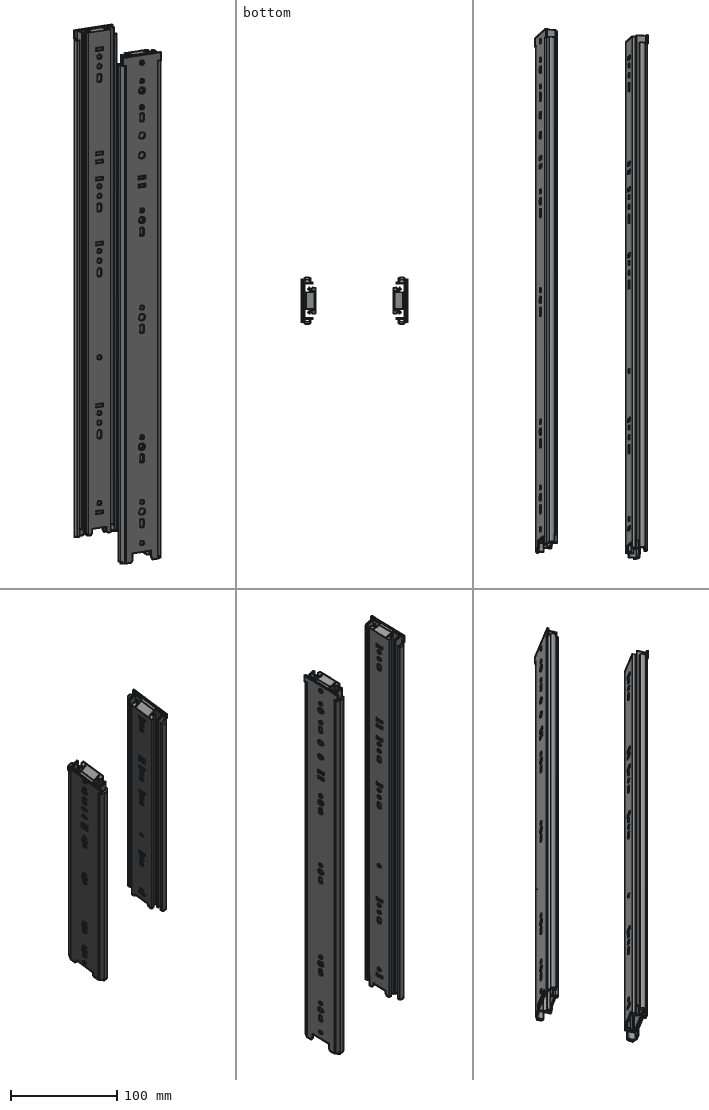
import cadquery as cq
length = 500.0
pair_width = 100.0
slide_width = 44.5
top = length / 2
bottom = -length / 2
outer_face = -pair_width / 2
sheet = 1.5
overcut = 5.0

outer_web_inside = outer_face + sheet
tab_half_width = 40.5 / 2
tab_height = 8.0
flat_half_width = 33.5 / 2
lip_start = outer_face + 3.0
lip_end = outer_face + 8.5
lip_start_y = 21.5
lip_end_y = 21.0
lip_thickness = 2.5
lip_setback = 1.5

middle_web_inside = outer_web_inside + sheet
middle_half_width = 17.5
middle_edge = outer_face + 10.5
pad_half_width = 8.0
pad_inside = middle_web_inside + sheet

inner_face = outer_face + 13.5
inner_web_inside = inner_face - sheet
inner_half_width = 12.5
inner_web_half_width = 12.0
race_crest = inner_face - 3.0
race_bottom = inner_face - 4.5
race_depth = 2.5
race_tip = inner_face - 6.0
inner_edge = inner_face - 7.5
inner_flange_root = 8.5
inner_setback = 3.0

notch_depth = 9.0
mouth_half_width = 11.5
outer_notch_half_width = 10.0
outer_mouth_height = 3.0
inner_notch_half_width = 7.5
inner_mouth_height = 5.5

round_hole = 6.5
fixing_hole = 4.6
pilot_hole = 4.4
rivet_hole = 3.3
pilot_offset = 9.5
slot_offset = -11.5
slot_height = 8.5
top_group = 215.0
through_groups = (87.0, -137.0)
outer_groups = (-9.0, -201.0)
outer_round_holes = (170.5, 151.0)
outer_slot = 188.5
outer_pilot = -232.0
rivets = (242.5, 198.5)
inner_group = 23.0
inner_window_offset = 17.0
inner_pilots = (-72.5, -216.5)
inner_end_window = -225.5
window_heights = (129.0, 121.0)
window_width = 7.5
window_height = 3.0
drill_depth = inner_face - outer_face + 2 * overcut


def box(x_range, half_width, z_range):
    """Block centred on Y = 0."""
    size_x = x_range[1] - x_range[0]
    size_z = z_range[1] - z_range[0]
    block = cq.Workplane("XY").box(size_x, 2 * half_width, size_z, centered=(False, True, False))
    return block.translate((x_range[0], 0, z_range[0]))


def with_both_flanges(web, flange):
    """Web joined to a flange at +Y and to its mirror image at -Y."""
    return web.union(flange).union(flange.mirror("XZ"))


def web_sketch():
    """Sketch plane facing +X, with local axes Y and Z, in front of the left slide."""
    return cq.Workplane("YZ").workplane(offset=outer_face - overcut)


def round_cutter(z, diameter):
    """Round hole on the centre line of the web."""
    return web_sketch().center(0, z).circle(diameter / 2).extrude(drill_depth)


def slot_cutter(z):
    """Round-ended slot, long in Z."""
    return web_sketch().center(0, z).slot2D(slot_height, pilot_hole, 90).extrude(drill_depth)


def window_cutter(z):
    """Rectangular opening, wide in Y."""
    return web_sketch().center(0, z).rect(window_width, window_height).extrude(drill_depth)


def group_cutters(z, diameter):
    """Pilot hole, round hole of the given diameter and slot."""
    return [
        round_cutter(z + pilot_offset, pilot_hole),
        round_cutter(z, diameter),
        slot_cutter(z + slot_offset),
    ]


def through_cutters(diameter):
    """Openings that run through all three rails; each rail sets the size of its round holes."""
    cutters = [round_cutter(top_group + pilot_offset, pilot_hole), round_cutter(top_group, diameter)]
    for z in through_groups:
        cutters += group_cutters(z, diameter)
    cutters += [window_cutter(z) for z in window_heights]
    return cutters


def outer_only_cutters():
    """Openings in the outer rail alone."""
    cutters = [slot_cutter(outer_slot), round_cutter(outer_pilot, pilot_hole)]
    for z in outer_groups:
        cutters += group_cutters(z, round_hole)
    cutters += [round_cutter(z, round_hole) for z in outer_round_holes]
    cutters += [round_cutter(z, pilot_hole) for z in rivets]
    return cutters


def inner_only_cutters():
    """Openings in the inner rail alone."""
    cutters = [slot_cutter(top_group + slot_offset)] + group_cutters(inner_group, fixing_hole)
    for z in (top_group, inner_group, *through_groups):
        cutters.append(window_cutter(z + inner_window_offset))
    cutters.append(window_cutter(inner_end_window))
    cutters += [round_cutter(z, pilot_hole) for z in inner_pilots]
    return cutters


def cut_all(body, cutters):
    for cutter in cutters:
        body = body.cut(cutter)
    return body


def notch_cutter(half_width, mouth_height):
    """Notch in the bottom edge, flared at its mouth."""
    notch_top = bottom + notch_depth
    mouth_top = bottom + mouth_height
    return (
        web_sketch()
        .moveTo(-mouth_half_width, bottom)
        .lineTo(-half_width, mouth_top)
        .lineTo(-half_width, notch_top)
        .lineTo(half_width, notch_top)
        .lineTo(half_width, mouth_top)
        .lineTo(mouth_half_width, bottom)
        .close()
        .extrude(drill_depth)
    )


def make_outer_rail():
    """Mounting rail: flat web with outward-bent flanges that end in a rounded lip."""
    flange_top = top - tab_height
    web = box((outer_face, outer_web_inside), flat_half_width, (bottom, top))
    tab = box((outer_face, outer_web_inside), tab_half_width, (flange_top, top))
    lip_middle = (lip_start + lip_end) / 2
    crown = slide_width / 2
    bend = (
        cq.Workplane("XY", origin=(0, 0, bottom))
        .moveTo(outer_face, flat_half_width)
        .lineTo(lip_start, lip_start_y)
        .lineTo(lip_start, lip_start_y - lip_thickness)
        .lineTo(outer_web_inside, middle_half_width)
        .lineTo(outer_web_inside, flat_half_width)
        .close()
        .extrude(flange_top - bottom)
    )
    lip = (
        cq.Workplane("XY", origin=(0, 0, bottom + lip_setback))
        .moveTo(lip_start, lip_start_y)
        .threePointArc((lip_middle, crown), (lip_end, lip_end_y))
        .lineTo(lip_end, lip_end_y - lip_thickness)
        .threePointArc((lip_middle, crown - lip_thickness), (lip_start, lip_start_y - lip_thickness))
        .close()
        .extrude(flange_top - bottom - lip_setback)
    )
    rail = with_both_flanges(web.union(tab), bend.union(lip))
    notch = notch_cutter(outer_notch_half_width, outer_mouth_height)
    return cut_all(rail, through_cutters(round_hole) + outer_only_cutters() + [notch])


def make_middle_rail():
    """Channel nested in the outer rail above its end notch, with a stop pad at its top end."""
    z_range = (bottom + notch_depth, top)
    channel = box((outer_web_inside, middle_edge), middle_half_width, z_range)
    hollow = box((middle_web_inside, middle_edge), middle_half_width - sheet, z_range)
    pad = box((middle_web_inside, pad_inside), pad_half_width, (top - sheet, top))
    rail = channel.cut(hollow).union(pad)
    return cut_all(rail, through_cutters(fixing_hole) + [round_cutter(z, rivet_hole) for z in rivets])


def make_inner_rail():
    """Drawer rail: web with grooved flanges and a stop tab bent across its top end."""
    z_range = (bottom + inner_setback, top)
    web = box((inner_web_inside, inner_face), inner_flange_root, z_range)
    flange = (
        cq.Workplane("XY", origin=(0, 0, z_range[0]))
        .moveTo(inner_face, inner_flange_root)
        .lineTo(inner_face, inner_web_half_width)
        .lineTo(race_crest, inner_half_width)
        .lineTo(race_bottom, inner_half_width - race_depth)
        .lineTo(race_tip, inner_half_width)
        .lineTo(inner_edge, inner_half_width - sheet)
        .lineTo(race_bottom, inner_flange_root)
        .close()
        .extrude(z_range[1] - z_range[0])
    )
    tab = box((pad_inside, inner_web_inside), pad_half_width, (top - sheet, top))
    rail = with_both_flanges(web.union(tab), flange)
    notch = notch_cutter(inner_notch_half_width, inner_mouth_height)
    return cut_all(rail, through_cutters(fixing_hole) + inner_only_cutters() + [notch])


left_slide = [make_outer_rail().val(), make_middle_rail().val(), make_inner_rail().val()]
right_slide = [rail.mirror("YZ") for rail in left_slide]

result = cq.Compound.makeCompound(left_slide + right_slide)